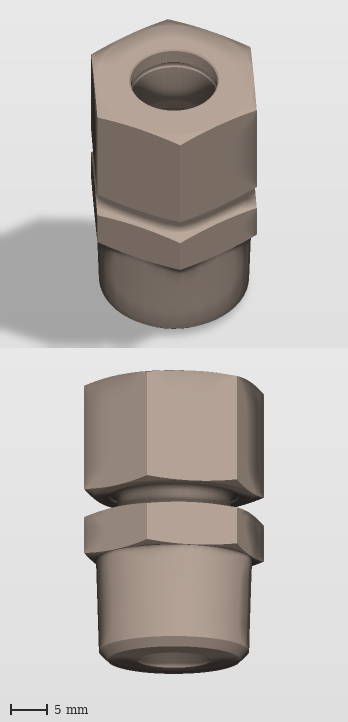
import cadquery as cq
import math


OVERALL_LENGTH = 38.5
HEX_ACROSS_FLATS = 22.0
HEX_CHAMFER_DIAMETER = 21.9
HEX_CHAMFER_ANGLE = 15.0

SHANK_LENGTH = 14.0
SHANK_TOP_DIAMETER = 21.5
SHANK_TAPER = 1 / 16
SHANK_CHAMFER = 1.2
BODY_HEX_HEIGHT = 6.0
NECK_DIAMETER = 15.7
NECK_LENGTH = 3.3
NECK_FILLET = 1.0
THREAD_DIAMETER = 18.0
BODY_LENGTH = 33.0
THROUGH_BORE = 10.0
TUBE_DIAMETER = 12.0
TUBE_STOP_Z = 26.0
MOUTH_DIAMETER = 14.3
MOUTH_HALF_ANGLE = 12.0

NUT_LENGTH = 15.5
NUT_RIM_CHAMFER = 0.2
NUT_BORE_DEPTH = 2.35

RING_DEPTH = 3.25
RING_COLLAR_DIAMETER = 16.0
RING_TIP_Z = 29.0

TUBE_RADIUS = TUBE_DIAMETER / 2
THREAD_RADIUS = THREAD_DIAMETER / 2
MOUTH_RADIUS = MOUTH_DIAMETER / 2
MOUTH_SLOPE = math.tan(math.radians(MOUTH_HALF_ANGLE))
NECK_BOTTOM_Z = SHANK_LENGTH + BODY_HEX_HEIGHT
SEAT_START_Z = OVERALL_LENGTH - NUT_BORE_DEPTH


def revolve_profile(points):
    """Solid of revolution about Z from (radius, z) points."""
    return cq.Workplane("XZ").polyline(points).close().revolve(360, (0, 0, 0), (0, 1, 0))


def chamfered_hex(bottom_z, height):
    """Hexagon with two flats facing +X and -X and its corners turned off at both ends."""
    corner_radius = HEX_ACROSS_FLATS / math.sqrt(3)
    face_radius = HEX_CHAMFER_DIAMETER / 2
    drop = (corner_radius - face_radius) * math.tan(math.radians(HEX_CHAMFER_ANGLE))
    top_z = bottom_z + height
    prism = (
        cq.Workplane("XY", origin=(0, 0, bottom_z))
        .polygon(6, 2 * corner_radius)
        .extrude(height)
        .rotate((0, 0, 0), (0, 0, 1), 30)
    )
    turned_blank = revolve_profile([
        (0, bottom_z),
        (face_radius, bottom_z),
        (corner_radius, bottom_z + drop),
        (corner_radius, top_z - drop),
        (face_radius, top_z),
        (0, top_z),
    ])
    return prism.intersect(turned_blank)


def seat_radius(z):
    """Radius of the 45 degree seat between nut and cutting ring at height z."""
    return TUBE_RADIUS + SEAT_START_Z - z


def mouth_radius(z):
    """Radius of the conical mouth of the body at height z."""
    return MOUTH_RADIUS - (BODY_LENGTH - z) * MOUTH_SLOPE


def tapered_shank():
    top_radius = SHANK_TOP_DIAMETER / 2
    chamfer_radius = top_radius - (SHANK_LENGTH - SHANK_CHAMFER) * SHANK_TAPER / 2
    return revolve_profile([
        (0, 0),
        (chamfer_radius - SHANK_CHAMFER, 0),
        (chamfer_radius, SHANK_CHAMFER),
        (top_radius, SHANK_LENGTH),
        (0, SHANK_LENGTH),
    ])


def neck_and_thread():
    """Plain thread cylinder above a neck groove with a fillet at each end."""
    neck_radius = NECK_DIAMETER / 2
    fillet_radius = neck_radius + NECK_FILLET
    neck_top_z = NECK_BOTTOM_Z + NECK_LENGTH
    arc_offset = NECK_FILLET * math.sqrt(0.5)
    arc_radius = fillet_radius - arc_offset
    return (
        cq.Workplane("XZ")
        .moveTo(0, NECK_BOTTOM_Z)
        .lineTo(fillet_radius, NECK_BOTTOM_Z)
        .threePointArc(
            (arc_radius, NECK_BOTTOM_Z + NECK_FILLET - arc_offset),
            (neck_radius, NECK_BOTTOM_Z + NECK_FILLET),
        )
        .lineTo(neck_radius, neck_top_z - NECK_FILLET)
        .threePointArc(
            (arc_radius, neck_top_z - NECK_FILLET + arc_offset),
            (fillet_radius, neck_top_z),
        )
        .lineTo(THREAD_RADIUS, neck_top_z)
        .lineTo(THREAD_RADIUS, BODY_LENGTH)
        .lineTo(0, BODY_LENGTH)
        .close()
        .revolve(360, (0, 0, 0), (0, 1, 0))
    )


def body_bore():
    """Through bore, tube socket and conical mouth for the cutting ring."""
    mouth_bottom_z = BODY_LENGTH - (MOUTH_RADIUS - TUBE_RADIUS) / MOUTH_SLOPE
    return revolve_profile([
        (0, 0),
        (THROUGH_BORE / 2, 0),
        (THROUGH_BORE / 2, TUBE_STOP_Z),
        (TUBE_RADIUS, TUBE_STOP_Z),
        (TUBE_RADIUS, mouth_bottom_z),
        (MOUTH_RADIUS, BODY_LENGTH),
        (0, BODY_LENGTH),
    ])


def make_body():
    outside = tapered_shank().union(chamfered_hex(SHANK_LENGTH, BODY_HEX_HEIGHT)).union(neck_and_thread())
    return outside.cut(body_bore()).solids()


def make_nut():
    """Hexagon nut with a threaded bore, a 45 degree ring seat and a tube hole."""
    bottom_z = OVERALL_LENGTH - NUT_LENGTH
    seat_end_z = SEAT_START_Z - (THREAD_RADIUS - TUBE_RADIUS)
    bore = revolve_profile([
        (0, bottom_z),
        (THREAD_RADIUS, bottom_z),
        (THREAD_RADIUS, seat_end_z),
        (TUBE_RADIUS, SEAT_START_Z),
        (TUBE_RADIUS, OVERALL_LENGTH - NUT_RIM_CHAMFER),
        (TUBE_RADIUS + NUT_RIM_CHAMFER, OVERALL_LENGTH),
        (0, OVERALL_LENGTH),
    ])
    return chamfered_hex(bottom_z, NUT_LENGTH).cut(bore).solids()


def make_cutting_ring():
    """Ring seated against the nut above and in the conical mouth of the body below."""
    top_z = OVERALL_LENGTH - RING_DEPTH
    collar_radius = RING_COLLAR_DIAMETER / 2
    collar_top_z = SEAT_START_Z - (collar_radius - TUBE_RADIUS)
    return revolve_profile([
        (TUBE_RADIUS, RING_TIP_Z),
        (mouth_radius(RING_TIP_Z), RING_TIP_Z),
        (MOUTH_RADIUS, BODY_LENGTH),
        (collar_radius, BODY_LENGTH),
        (collar_radius, collar_top_z),
        (seat_radius(top_z), top_z),
        (TUBE_RADIUS, top_z),
    ])


body = make_body()
cutting_ring = make_cutting_ring()
nut = make_nut()

result = cq.Compound.makeCompound([body.val(), cutting_ring.val(), nut.val()])